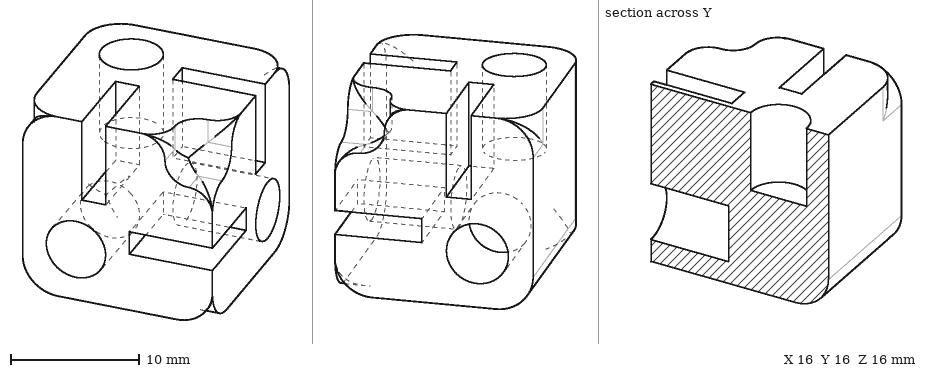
import cadquery as cq
import math


SIZE = 16.0
CORNER_RADIUS = 3.0
NOTCH = 4.0
NOTCH_RADIUS = NOTCH / 2

HOLE_DIAMETER = 5.0
HOLE_INSET = 4.5
SLOT_WIDTH = 2.0
SLOT_INSET = 5.0
SLOT_DEPTH = 7.0
HOLE_DEPTH = SLOT_DEPTH

DIAGONAL = (1, -1, 1)
THIRD_TURN = 120


def three_around_diagonal(shape):
    """Return the shape and its two copies turned about the cube diagonal."""
    origin = (0, 0, 0)
    return [shape.rotate(origin, DIAGONAL, turn * THIRD_TURN) for turn in range(3)]


def arm_bar():
    """Upright bar with three rounded corners and a notch at +X, -Y."""
    r = CORNER_RADIUS
    arc_inset = r * (1 - math.cos(math.pi / 4))
    mouth = NOTCH + NOTCH_RADIUS
    mouth_near = NOTCH_RADIUS * (1 - math.cos(math.pi / 4))
    mouth_far = mouth - NOTCH_RADIUS * math.cos(math.pi / 4)
    hollow = NOTCH - mouth_near
    return (
        cq.Workplane("XY")
        .moveTo(r, 0)
        .lineTo(SIZE - r, 0)
        .threePointArc((SIZE - arc_inset, -arc_inset), (SIZE, -r))
        .lineTo(SIZE, mouth - SIZE)
        .threePointArc((SIZE - mouth_near, mouth_far - SIZE), (SIZE - NOTCH_RADIUS, NOTCH - SIZE))
        .threePointArc((SIZE - hollow, hollow - SIZE), (SIZE - NOTCH, NOTCH_RADIUS - SIZE))
        .threePointArc((SIZE - mouth_far, mouth_near - SIZE), (SIZE - mouth, -SIZE))
        .lineTo(r, -SIZE)
        .threePointArc((arc_inset, arc_inset - SIZE), (0, r - SIZE))
        .lineTo(0, -r)
        .threePointArc((arc_inset, -arc_inset), (r, 0))
        .close()
        .extrude(SIZE)
    )


def mitre_pyramid():
    """Third of the cube nearest the top face: Z at least X and at least -Y."""
    above_x = cq.Workplane("XZ").polyline([(0, 0), (SIZE, SIZE), (0, SIZE)]).close().extrude(SIZE)
    above_y = cq.Workplane("YZ").polyline([(0, 0), (-SIZE, SIZE), (0, SIZE)]).close().extrude(SIZE)
    return above_x.intersect(above_y)


def arm_hole():
    """Blind round hole sunk into the top face."""
    return (
        cq.Workplane("XY", origin=(HOLE_INSET, -HOLE_INSET, SIZE - HOLE_DEPTH))
        .circle(HOLE_DIAMETER / 2)
        .extrude(HOLE_DEPTH)
    )


def edge_slot():
    """Slot across the edge shared by the top and -Y faces."""
    return (
        cq.Workplane("XY")
        .box(SLOT_WIDTH, SLOT_DEPTH, SLOT_DEPTH, centered=False)
        .translate((SLOT_INSET, -SIZE, SIZE - SLOT_DEPTH))
    )


first_arm, *other_arms = three_around_diagonal(arm_bar().intersect(mitre_pyramid()))
result = first_arm
for arm in other_arms:
    result = result.union(arm)

for cutter in three_around_diagonal(arm_hole()) + three_around_diagonal(edge_slot()):
    result = result.cut(cutter)